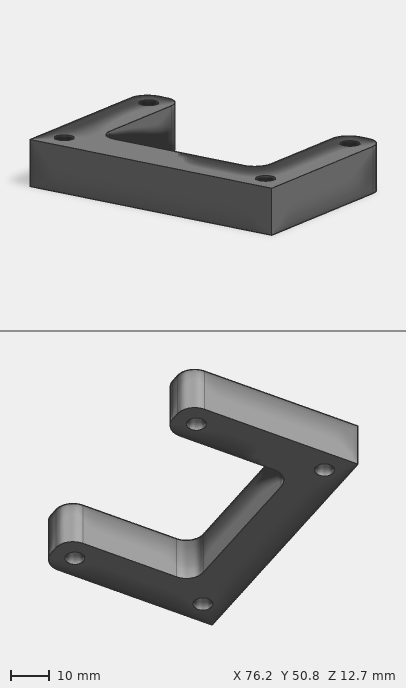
import cadquery as cq

length = 76.2
depth = length * 2 / 3
bar_width = length / 6
thickness = bar_width
corner_radius = 5.1
hole_diameter = 5.1

hole_spacing_x = length - bar_width
hole_spacing_y = depth - bar_width

block = (
    cq.Workplane("XY")
    .box(length, depth, thickness, centered=(True, True, False))
)

opening = (
    cq.Workplane("XY")
    .center(0, bar_width / 2)
    .rect(length - 2 * bar_width, depth - bar_width)
    .extrude(thickness)
    .edges("|Z and <Y")
    .fillet(corner_radius)
)
plate = block.cut(opening).edges("|Z and >Y").fillet(corner_radius)

result = (
    plate.faces(">Z").workplane(origin=(0, 0, thickness))
    .rect(hole_spacing_x, hole_spacing_y, forConstruction=True)
    .vertices()
    .hole(hole_diameter)
)